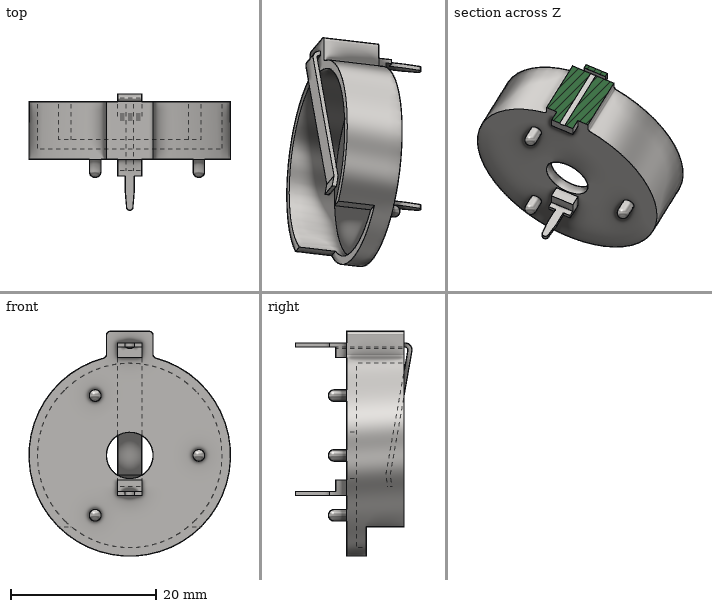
import math

import cadquery as cq


body_radius = 13.87
body_depth = 7.93
tab_width = 6.45
tab_top = 17.1
tab_corner_radius = 0.6
tab_root_radius = 0.5
hole_radius = 3.2

floor_thickness = 1.4
recess_radius = 12.7
notch_top = -9.8
lip_depth = 2.72

post_count = 3
post_circle_radius = 9.5
post_radius = 0.8
post_straight_length = 1.7

strip_width = 3.3
strip_thickness = 0.6
shoulder_length = 2.32
pin_width = 1.25
pin_taper_start = 4.55
pin_tip_start = 6.63
pin_tip_width = 0.9
pin_length = 7.03
block_depth = 1.52
upper_strip_top = 15.48
upper_strip_bottom = upper_strip_top - strip_thickness
upper_block_bottom = 13.45
lower_strip_bottom = -5.55
lower_strip_top = lower_strip_bottom + strip_thickness
lower_block_top = -3.37

groove_width = 1.05
groove_height = 0.22

spring_overhang = 1.08
bend_outer_radius = 1.0
arm_tilt = math.radians(10)
arm_end_z = -2.72
arm_tip_length = 1.55


def cylinder_y(radius, start_y, end_y):
    return cq.Workplane("XZ", origin=(0, start_y, 0)).circle(radius).extrude(start_y - end_y)


def box_between(width, y_range, z_range):
    """Box centred on x = 0 that fills the given Y and Z ranges."""
    depth = y_range[1] - y_range[0]
    height = z_range[1] - z_range[0]
    corner = (-width / 2, y_range[0], z_range[0])
    return cq.Workplane("XY").box(width, depth, height, centered=False).translate(corner)


def make_body():
    disc = cylinder_y(body_radius, 0, body_depth)
    tab = box_between(tab_width, (0, body_depth), (0, tab_top))
    tab = tab.edges("|Y and >Z").fillet(tab_corner_radius)
    body = disc.union(tab)

    root_x = tab_width / 2
    root_z = math.sqrt(body_radius**2 - root_x**2)
    for x in (-root_x, root_x):
        root_edge = cq.selectors.NearestToPointSelector((x, body_depth / 2, root_z))
        body = body.edges("|Y").edges(root_edge).fillet(tab_root_radius)

    body = body.cut(cylinder_y(recess_radius, floor_thickness, body_depth))
    body = body.cut(cylinder_y(hole_radius, 0, floor_thickness))
    notch = box_between(2 * body_radius, (lip_depth, body_depth), (-body_radius, notch_top))
    return body.cut(notch)


def make_post(angle):
    post = cylinder_y(post_radius, floor_thickness, -post_straight_length)
    dome = cq.Workplane("XY").sphere(post_radius).translate((0, -post_straight_length, 0))
    x = post_circle_radius * math.cos(angle)
    z = post_circle_radius * math.sin(angle)
    return post.union(dome).translate((x, 0, z))


def make_pin(bottom_z):
    """Flat stepped pin, tapered to a rounded tip, rooted in the holder floor."""
    return (
        cq.Workplane("XY", origin=(0, 0, bottom_z))
        .moveTo(-strip_width / 2, floor_thickness)
        .lineTo(-strip_width / 2, -shoulder_length)
        .lineTo(-pin_width / 2, -shoulder_length)
        .lineTo(-pin_width / 2, -pin_taper_start)
        .lineTo(-pin_tip_width / 2, -pin_tip_start)
        .threePointArc((0, -pin_length), (pin_tip_width / 2, -pin_tip_start))
        .lineTo(pin_width / 2, -pin_taper_start)
        .lineTo(pin_width / 2, -shoulder_length)
        .lineTo(strip_width / 2, -shoulder_length)
        .lineTo(strip_width / 2, floor_thickness)
        .close()
        .extrude(strip_thickness)
    )


def make_groove():
    """Groove through the upper block and the tab, roofed by the upper strip."""
    return (
        cq.Workplane("XZ", origin=(0, -block_depth, upper_strip_bottom))
        .moveTo(-groove_width / 2, 0)
        .threePointArc((0, -groove_height), (groove_width / 2, 0))
        .close()
        .extrude(-(block_depth + body_depth))
    )


def make_spring():
    """Strip through the tab, bent back down into the recess, with a kicked-up tip."""
    bend_y = body_depth + spring_overhang - bend_outer_radius
    bend_z = upper_strip_top - bend_outer_radius
    bend_inner_radius = bend_outer_radius - strip_thickness

    def on_bend(radius, angle):
        return (bend_y + radius * math.cos(angle), bend_z + radius * math.sin(angle))

    def down_arm(start, end_z):
        return (start[0] - (start[1] - end_z) * math.tan(arm_tilt), end_z)

    bend_end = -arm_tilt
    bend_middle = (math.pi / 2 + bend_end) / 2
    outer_bend_end = on_bend(bend_outer_radius, bend_end)
    inner_bend_end = on_bend(bend_inner_radius, bend_end)

    inner_knee = down_arm(inner_bend_end, arm_end_z)
    outer_knee = down_arm(outer_bend_end, arm_end_z)
    tip_shift_y = arm_tip_length * math.sin(arm_tilt)
    tip_shift_z = -arm_tip_length * math.cos(arm_tilt)

    return (
        cq.Workplane("YZ", origin=(-strip_width / 2, 0, 0))
        .moveTo(0, upper_strip_top)
        .lineTo(bend_y, upper_strip_top)
        .threePointArc(on_bend(bend_outer_radius, bend_middle), outer_bend_end)
        .lineTo(*outer_knee)
        .line(tip_shift_y, tip_shift_z)
        .lineTo(inner_knee[0] + tip_shift_y, inner_knee[1] + tip_shift_z)
        .lineTo(*inner_knee)
        .lineTo(*inner_bend_end)
        .threePointArc(on_bend(bend_inner_radius, bend_middle), (bend_y, upper_strip_bottom))
        .lineTo(0, upper_strip_bottom)
        .close()
        .extrude(strip_width)
    )


result = make_body()
for index in range(post_count):
    result = result.union(make_post(2 * math.pi * index / post_count))

block_y_range = (-block_depth, floor_thickness)
result = result.union(box_between(strip_width, block_y_range, (upper_block_bottom, upper_strip_bottom)))
result = result.union(box_between(strip_width, block_y_range, (lower_strip_top, lower_block_top)))
result = result.cut(make_groove())
result = result.union(make_pin(upper_strip_bottom))
result = result.union(make_pin(lower_strip_bottom))
result = result.union(make_spring())